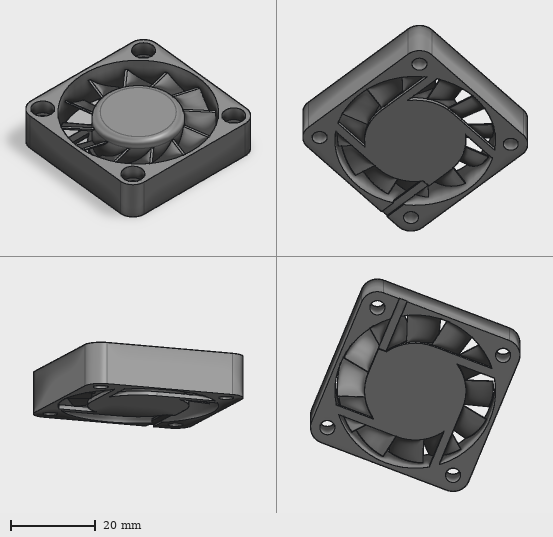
import cadquery as cq
import math

frame_side = 40.0
frame_height = 10.0
corner_radius = 4.0
bore_radius = 19.0
screw_offset = frame_side / 2 - corner_radius
screw_hole_diameter = 3.5
counterbore_diameter = 5.6
counterbore_depth = 3.6

base_radius = 12.0
base_thickness = 1.0
strut_width = 2.0
strut_count = 4
strut_inner_side = base_radius - strut_width
cable_slot_depth = base_thickness / 2

hub_radius = 11.0
hub_fillet = 2.0
hub_height = frame_height - base_thickness

blade_count = 12
first_blade_angle = 14.1
blade_tip_radius = 18.5
blade_top = 7.75
blade_bottom = 2.2
leading_edge_width = 0.6
blade_thickness = 0.45
blade_sag = 0.9

root_distance = 8.0
root_leading = 4.4
root_trailing = -3.0
tip_distance = 18.8
tip_leading = 4.45
tip_trailing = -3.7


def turned(body, angle):
    """The body turned about the fan axis."""
    return body.rotate((0, 0, 0), (0, 0, 1), angle)


def make_housing():
    """Square frame with a round bore and counterbored corner holes."""
    return (
        cq.Workplane("XY")
        .rect(frame_side, frame_side)
        .extrude(frame_height)
        .edges("|Z")
        .fillet(corner_radius)
        .cut(cq.Workplane("XY").circle(bore_radius).extrude(frame_height))
        .faces(">Z")
        .workplane(origin=(0, 0, frame_height))
        .rect(2 * screw_offset, 2 * screw_offset, forConstruction=True)
        .vertices()
        .cboreHole(screw_hole_diameter, counterbore_diameter, counterbore_depth)
    )


def make_motor_base():
    """Disc with pinwheel struts, each with its outer side tangent to the disc.

    The struts reach past the bore wall, so their ends merge into the frame.
    """
    motor_base = cq.Workplane("XY").circle(base_radius).extrude(base_thickness)
    strut = (
        cq.Workplane("XY")
        .box(bore_radius, strut_width, base_thickness, centered=False)
        .translate((-bore_radius, strut_inner_side, 0))
    )
    for index in range(strut_count):
        motor_base = motor_base.union(turned(strut, index * 360 / strut_count))
    return motor_base


def make_cable_slot():
    """Slot from the -X side, under the first strut, to where the strut's inner side meets the disc."""
    slot_end = -math.sqrt(base_radius**2 - strut_inner_side**2)
    return (
        cq.Workplane("XY")
        .box(frame_side / 2 + slot_end, strut_width, cable_slot_depth, centered=False)
        .translate((-frame_side / 2, strut_inner_side, 0))
    )


def make_frame():
    return make_housing().union(make_motor_base()).cut(make_cable_slot())


def blade_section(distance, leading, trailing):
    """Scooped blade profile, steep at the high leading edge and flatter at the low trailing edge."""
    middle = (leading + trailing) / 2
    lower_middle_z = (blade_top + blade_bottom) / 2 - blade_sag
    return (
        cq.Workplane("YZ", origin=(distance, 0, 0))
        .moveTo(leading, blade_top)
        .threePointArc((middle, lower_middle_z), (trailing, blade_bottom))
        .lineTo(trailing, blade_bottom + blade_thickness)
        .threePointArc(
            (middle, lower_middle_z + blade_thickness),
            (leading - leading_edge_width, blade_top),
        )
        .close()
        .val()
    )


def make_blade():
    root = blade_section(root_distance, root_leading, root_trailing)
    tip = blade_section(tip_distance, tip_leading, tip_trailing)
    blade = cq.Workplane(cq.Solid.makeLoft([root, tip], True))
    tip_limit = cq.Workplane("XY").circle(blade_tip_radius).extrude(frame_height)
    return blade.intersect(tip_limit)


def make_impeller():
    """Round-edged hub resting on the motor base, with its ring of blades."""
    impeller = (
        cq.Workplane("XY", origin=(0, 0, base_thickness))
        .circle(hub_radius)
        .extrude(hub_height)
        .faces(">Z")
        .edges()
        .fillet(hub_fillet)
    )
    blade = make_blade()
    for index in range(blade_count):
        impeller = impeller.union(turned(blade, first_blade_angle + index * 360 / blade_count))
    return impeller


frame = make_frame()
impeller = make_impeller()
result = cq.Compound.makeCompound([frame.solids().val(), impeller.solids().val()])